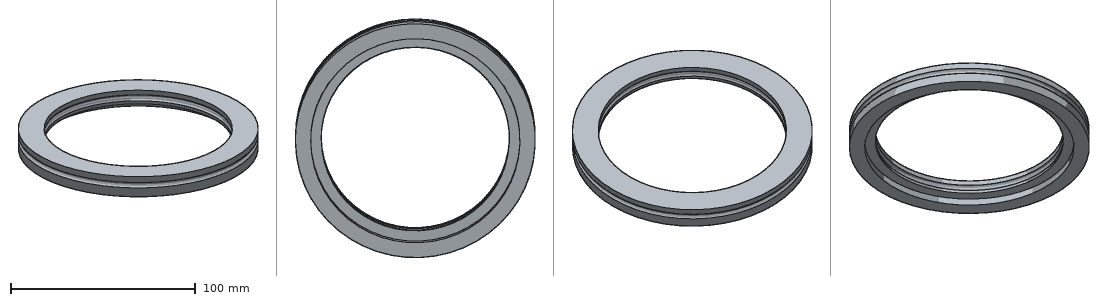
import cadquery as cq
import math

outer_radius = 65.0
bore_radius = 51.0
height = 12.0

recess_radius = 56.7
recess_height = 3.9

outer_groove_width = 3.1
outer_groove_depth = 1.3
outer_groove_z = height - 5.1

bore_groove_radius = 1.4
bore_groove_z = height - 4.3
flank_offset = bore_groove_radius * math.sin(math.radians(45))


def ring_body():
    """Plain ring with the recess in its underside."""
    body = cq.Workplane("XY").circle(outer_radius).circle(bore_radius).extrude(height)
    recess = cq.Workplane("XY").circle(recess_radius).extrude(recess_height)
    return body.cut(recess)


def revolve_profile(profile):
    """Turn a closed XZ profile around the Z axis."""
    return profile.revolve(360, (0, 0), (0, 1))


def outer_groove():
    """Two arcs meeting at the deepest circle of the groove."""
    half_width = outer_groove_width / 2
    floor_radius = outer_radius - outer_groove_depth
    arc_radius = (half_width**2 + outer_groove_depth**2) / (2 * outer_groove_depth)
    half_angle = math.asin(half_width / arc_radius) / 2
    mid_radius = floor_radius + arc_radius * (1 - math.cos(half_angle))
    mid_offset = arc_radius * math.sin(half_angle)
    profile = (
        cq.Workplane("XZ")
        .moveTo(outer_radius, outer_groove_z - half_width)
        .threePointArc((mid_radius, outer_groove_z - mid_offset), (floor_radius, outer_groove_z))
        .threePointArc(
            (mid_radius, outer_groove_z + mid_offset), (outer_radius, outer_groove_z + half_width)
        )
        .close()
    )
    return revolve_profile(profile)


def bore_groove():
    """Arc from the upper mouth edge, tangent to the sloping lower flank."""
    profile = (
        cq.Workplane("XZ")
        .moveTo(bore_radius, bore_groove_z + bore_groove_radius)
        .threePointArc(
            (bore_radius + bore_groove_radius, bore_groove_z),
            (bore_radius + flank_offset, bore_groove_z - flank_offset),
        )
        .lineTo(bore_radius, bore_groove_z - 2 * flank_offset)
        .close()
    )
    return revolve_profile(profile)


result = ring_body().cut(outer_groove()).cut(bore_groove())